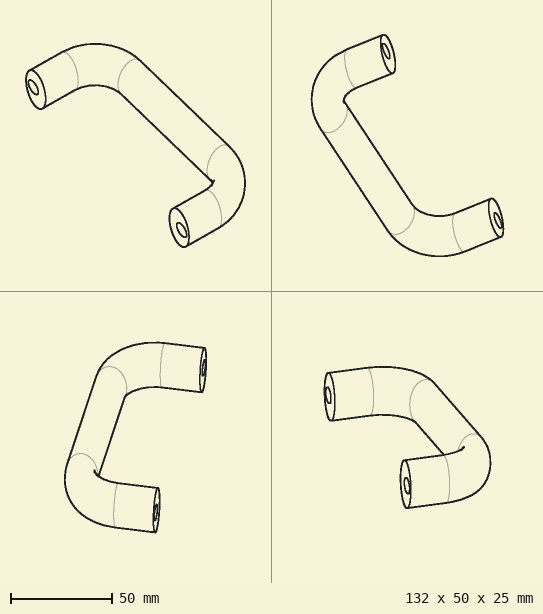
import cadquery as cq

length = 132.0
depth = 50.0

bar_thickness = 16.0
bar_height = 25.0

outer_bend_radius = 30.0

hole_diameter = 8.0
hole_outward_offset = 2.0
hole_depth = 13.2

leg_x = (length - bar_thickness) / 2
bend_radius = outer_bend_radius - bar_thickness / 2
leg_end_y = -depth / 2
grip_y = depth / 2 - bar_thickness / 2
bend_start_y = grip_y - bend_radius
grip_end_x = leg_x - bend_radius


def make_bar():
    """Sweep the elliptical section along the U-shaped centreline."""
    centreline = (
        cq.Workplane("XY")
        .moveTo(-leg_x, leg_end_y)
        .lineTo(-leg_x, bend_start_y)
        .tangentArcPoint((-grip_end_x, grip_y), relative=False)
        .lineTo(grip_end_x, grip_y)
        .tangentArcPoint((leg_x, bend_start_y), relative=False)
        .lineTo(leg_x, leg_end_y)
    )
    section = cq.Workplane("XZ", origin=(-leg_x, leg_end_y, 0)).ellipse(bar_thickness / 2, bar_height / 2)
    return section.sweep(centreline)


def make_holes():
    """Cylinders that cut the mounting holes, running inward from the leg ends."""
    hole_x = leg_x + hole_outward_offset
    return (
        cq.Workplane("XZ", origin=(0, leg_end_y, 0))
        .pushPoints([(-hole_x, 0), (hole_x, 0)])
        .circle(hole_diameter / 2)
        .extrude(-hole_depth)
    )


result = make_bar().cut(make_holes())